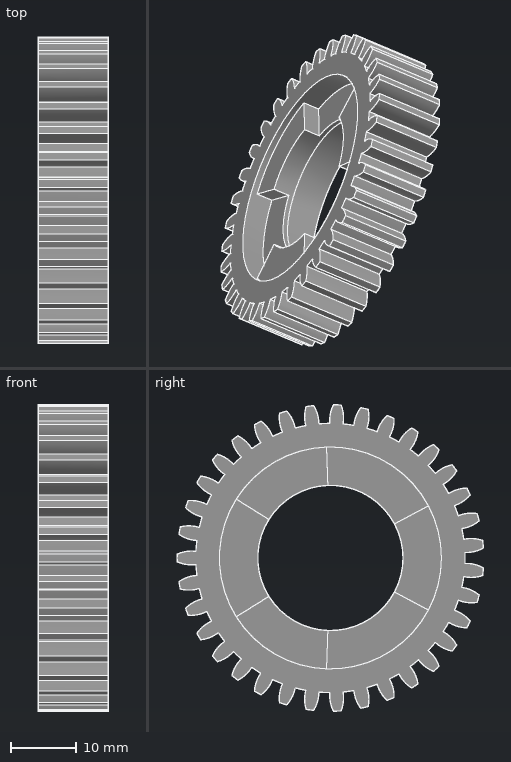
import cadquery as cq
import math

MM_PER_INCH = 25.4
DIAMETRAL_PITCH = 20
MODULE = MM_PER_INCH / DIAMETRAL_PITCH
DEDENDUM = 1.25 * MODULE
TEETH = 35
PRESSURE_ANGLE = math.radians(14.5)
FACE_WIDTH = 10.79

PITCH_RADIUS = MODULE * TEETH / 2
BASE_RADIUS = PITCH_RADIUS * math.cos(PRESSURE_ANGLE)
TIP_RADIUS = PITCH_RADIUS + MODULE
ROOT_RADIUS = PITCH_RADIUS - DEDENDUM
TOOTH_PITCH = 2 * math.pi / TEETH
FIRST_TOOTH_ANGLE = math.pi

BORE_RADIUS = 11.1
COUNTERBORE_RADIUS = 14.27
COUNTERBORE_DEPTH = 6.35
WEB_BACK = 7.14
LUG_BACK = 9.77

RECESS_RADIUS = 17.0
LUG_COUNT = 3
LUG_PITCH = 360 / LUG_COUNT
LUG_SPAN = 56.0
FIRST_LUG_ANGLE = 0.0
SECTOR_REACH = 2 * RECESS_RADIUS


def polar(radius, angle):
    """Point in the YZ plane, with the angle in radians from +Y towards +Z."""
    return (radius * math.cos(angle), radius * math.sin(angle))


def tooth_half_angle(radius):
    """Half the angle a tooth spans at a radius on its involute flank."""
    local_pressure_angle = math.acos(BASE_RADIUS / radius)
    involute_pitch = math.tan(PRESSURE_ANGLE) - PRESSURE_ANGLE
    involute_local = math.tan(local_pressure_angle) - local_pressure_angle
    return TOOTH_PITCH / 4 + involute_pitch - involute_local


def disc(radius, start, end):
    """Solid cylinder on the gear axis between two X positions."""
    return cq.Workplane("YZ", origin=(start, 0, 0)).circle(radius).extrude(end - start)


def gear_blank():
    """Toothed disc: arcs along the roots and tips, joined by one smooth arc per flank."""
    root_half = tooth_half_angle(BASE_RADIUS)
    pitch_half = tooth_half_angle(PITCH_RADIUS)
    tip_half = tooth_half_angle(TIP_RADIUS)

    outline = cq.Workplane("YZ").moveTo(*polar(ROOT_RADIUS, FIRST_TOOTH_ANGLE - TOOTH_PITCH + root_half))
    for index in range(TEETH):
        centre = FIRST_TOOTH_ANGLE + index * TOOTH_PITCH
        gap_centre = centre - TOOTH_PITCH / 2
        outline = (
            outline.threePointArc(polar(ROOT_RADIUS, gap_centre), polar(ROOT_RADIUS, centre - root_half))
            .threePointArc(polar(PITCH_RADIUS, centre - pitch_half), polar(TIP_RADIUS, centre - tip_half))
            .threePointArc(polar(TIP_RADIUS, centre), polar(TIP_RADIUS, centre + tip_half))
            .threePointArc(polar(PITCH_RADIUS, centre + pitch_half), polar(ROOT_RADIUS, centre + root_half))
        )
    return outline.close().extrude(FACE_WIDTH)


def lug_sector(centre_degrees):
    """Triangular prism from the gear axis whose two radial faces are the sides of a lug."""
    centre = math.radians(centre_degrees)
    half = math.radians(LUG_SPAN / 2)
    return (
        cq.Workplane("YZ", origin=(WEB_BACK, 0, 0))
        .lineTo(*polar(SECTOR_REACH, centre - half))
        .lineTo(*polar(SECTOR_REACH, centre + half))
        .close()
        .extrude(LUG_BACK - WEB_BACK)
    )


def recess():
    """Space removed from the +X face: a round pocket, less the lugs left standing in it."""
    pocket = disc(RECESS_RADIUS, WEB_BACK, FACE_WIDTH)
    for index in range(LUG_COUNT):
        pocket = pocket.cut(lug_sector(FIRST_LUG_ANGLE + index * LUG_PITCH))
    return pocket


result = (
    gear_blank()
    .cut(disc(COUNTERBORE_RADIUS, 0, COUNTERBORE_DEPTH))
    .cut(recess())
    .cut(disc(BORE_RADIUS, 0, FACE_WIDTH))
)